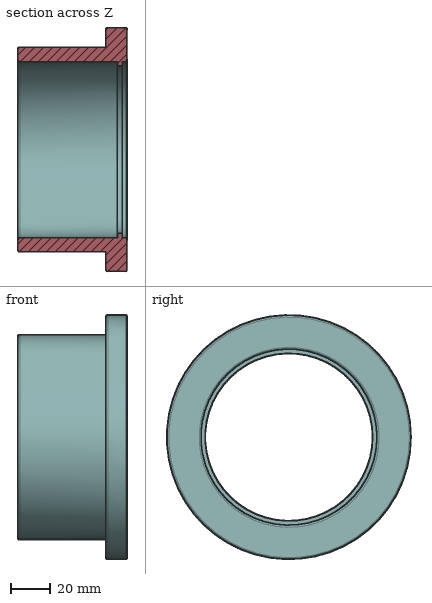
import cadquery as cq

length = 56.0
flange_diameter = 125
flange_thickness = 11.0
sleeve_diameter = 105
bore_diameter = 90
lip_diameter = 85.5
lip_thickness = 2.5
recess_depth = 2.5
edge_radius = 1.0

end_x = length / 2
start_x = -end_x
flange_x = end_x - flange_thickness
recess_x = end_x - recess_depth
lip_x = recess_x - lip_thickness


def cylinder(diameter, from_x, to_x):
    """Solid cylinder on the X axis."""
    return cq.Workplane("YZ", origin=(from_x, 0, 0)).circle(diameter / 2).extrude(to_x - from_x)


sleeve = cylinder(sleeve_diameter, start_x, flange_x).faces("<X").edges().fillet(edge_radius)
flange = cylinder(flange_diameter, flange_x, end_x).edges().fillet(edge_radius)
body = sleeve.union(flange)

body = body.cut(cylinder(bore_diameter, start_x, lip_x))
body = body.cut(cylinder(lip_diameter, lip_x, recess_x))

body = body.cut(cylinder(bore_diameter, recess_x, end_x))

inner_edge = cq.selectors.RadiusNthSelector(0)
for end_face in ("<X", ">X"):
    body = body.faces(end_face).edges(inner_edge).fillet(edge_radius)

result = body